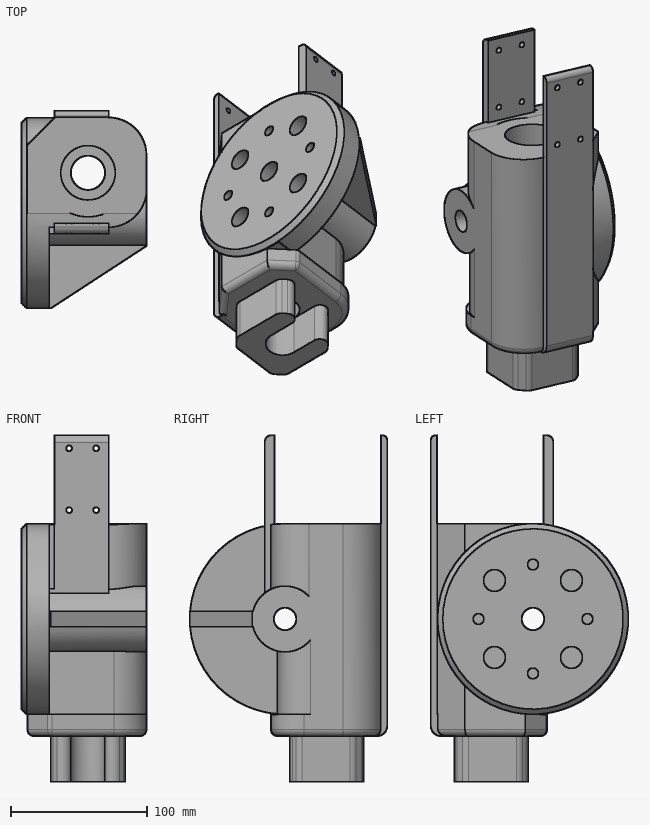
import cadquery as cq
import math


flange_radius = 70.0
flange_thickness = 20.5
flange_chamfer = 3.8
center_hole_diameter = 16.3
large_hole_diameter = 16.0
small_hole_diameter = 8.0
hole_circle_radius = 40.0
flange_hole_count = 8
flange_hole_depth = 16.5

block_left = 4.3
block_right = 92.0
block_back = 70.2
block_front = -10.5
lower_block_front = -5.5
corner_radius = 28.0
lower_corner_radius = 24.2
back_chamfer = 20.4
front_chamfer = 16.0
front_chamfer_blend = 4.3

cap_top = -flange_radius
cap_bottom = -86.0
cap_edge_radius = 5.0

bore_x = 48.9
bore_y = 29.5
bore_diameter = 25.0
counterbore_diameter = 40.0
collar_radius = 32.3
collar_height = 12.7

foot_bottom = -119.5
foot_size_x = 55.0
foot_size_y = 54.2
foot_y = 30.5
foot_back_chamfer = 7.6
foot_front_chamfer = 6.4
foot_edge_radius = 6.0

barrel_radius = 24.2
gusset_thickness = 11.7
gusset_tip_x = 21.6

plate_top = 135.0
plate_left = 24.2
plate_width = 40.0
back_plate_thickness = 4.8
front_plate_outer = -15.0
front_plate_inner = -7.6
back_plate_edge_radius = 3.8
back_plate_root_radius = 7.6
front_plate_edge_radius = 5.0
plate_tab_top = 22.1
plate_hole_diameter = 4.0
plate_hole_spacing_x = 19.9
plate_hole_offset_x = 0.8
plate_hole_heights = (80.0, 125.2)


def box(x_min, x_max, y_min, y_max, z_min, z_max):
    size = (x_max - x_min, y_max - y_min, z_max - z_min)
    return cq.Workplane("XY").box(*size, centered=False).translate((x_min, y_min, z_min))


def x_cylinder(radius, x_min, x_max, y=0, z=0):
    return cq.Workplane("YZ", origin=(x_min, y, z)).circle(radius).extrude(x_max - x_min)


def z_cylinder(radius, z_min, z_max):
    return cq.Workplane("XY", origin=(bore_x, bore_y, z_min)).circle(radius).extrude(z_max - z_min)


def block(front, front_corner_radius, z_min, z_max):
    """Housing outline with rounded right corners and a chamfered left back corner."""
    body = box(block_left, block_right, front, block_back, z_min, z_max)
    body = body.edges("|Z and >X and >Y").fillet(corner_radius)
    body = body.edges("|Z and >X and <Y").fillet(front_corner_radius)
    return body.edges("|Z and <X and >Y").chamfer(back_chamfer)


def housing():
    """Block whose top falls away along the flange radius in front of the flange axis."""
    envelope = x_cylinder(flange_radius, block_left, block_right)
    envelope = envelope.union(box(block_left, block_right, 0, block_back, 0, flange_radius))
    upper = block(block_front, corner_radius, 0, flange_radius)
    lower = block(lower_block_front, lower_corner_radius, cap_top, 0)
    collar = z_cylinder(collar_radius, flange_radius - collar_height, flange_radius)
    return upper.intersect(envelope).union(lower).union(collar)


def base_cap():
    """Cap with a chamfered left front corner and a rounded bottom edge."""
    cap = block(block_front, lower_corner_radius, cap_bottom, cap_top)
    cap = cap.edges("|Z and <X and <Y").chamfer(front_chamfer)
    blend_x = block_left + front_chamfer
    blend_edge = cq.selectors.NearestToPointSelector((blend_x, block_front, (cap_top + cap_bottom) / 2))
    cap = cap.edges(blend_edge).fillet(front_chamfer_blend)
    return cap.faces("<Z").edges().fillet(cap_edge_radius)


def foot():
    """Foot with bevelled corners and two rounded front arms beside a slot as wide as the bore."""
    half_slot = bore_diameter / 2
    half_width = foot_size_x / 2
    back = foot_y + foot_size_y / 2
    bevel_start = foot_y - foot_size_y / 2 + foot_front_chamfer
    arm_tip = bevel_start - (half_width - half_slot)
    half_outline = [
        (half_slot, bore_y),
        (half_slot, arm_tip),
        (half_width, bevel_start),
        (half_width, back - foot_back_chamfer),
        (half_width - foot_back_chamfer, back),
    ]
    mirrored = [(-x, y) for x, y in reversed(half_outline)]
    post = (
        cq.Workplane("XY", origin=(bore_x, 0, foot_bottom))
        .polyline(half_outline + mirrored)
        .close()
        .extrude(cap_bottom - foot_bottom)
    )
    slot_end = cq.selectors.BoxSelector(
        (bore_x - half_width, bore_y - half_slot / 2, foot_bottom),
        (bore_x + half_width, bore_y + half_slot / 2, cap_bottom),
    )
    outer_edges = cq.selectors.SubtractSelector(cq.selectors.ParallelDirSelector(cq.Vector(0, 0, 1)), slot_end)
    return post.edges(outer_edges).fillet(foot_edge_radius)


def flange():
    """Chamfered disc, thickened behind its back rim up to the left edge of the mounting plates."""
    disc = x_cylinder(flange_radius, 0, flange_thickness)
    disc = disc.faces("<X").edges().chamfer(flange_chamfer)
    step_front = block_back - back_chamfer
    step = x_cylinder(flange_radius, flange_thickness, plate_left).intersect(
        box(flange_thickness, plate_left, step_front, block_back, -flange_radius, flange_radius)
    )
    return disc.union(step)


def gusset():
    """Triangular web from the barrel to the front rim of the flange."""
    outline = [
        (flange_thickness, 0),
        (flange_thickness, -flange_radius),
        (gusset_tip_x, -flange_radius),
        (block_right, -barrel_radius),
        (block_right, 0),
    ]
    return (
        cq.Workplane("XY", origin=(0, 0, -gusset_thickness / 2))
        .polyline(outline)
        .close()
        .extrude(gusset_thickness)
    )


def back_plate():
    """Plate on the back of the housing, with a root that fills the rounded edge of the base cap."""
    outer = block_back + back_plate_thickness
    right = plate_left + plate_width
    plate = box(plate_left, right, block_back, outer, cap_top, plate_top)
    plate = plate.edges("|X and >Y and >Z").fillet(back_plate_edge_radius)
    root = box(plate_left, right, block_back - cap_edge_radius, outer, cap_bottom, cap_top)
    return plate.union(root.edges("|X and >Y and <Z").fillet(back_plate_root_radius))


def front_plate():
    """Plate standing on the barrel, with a tab that reaches the flange at its foot."""
    plate = box(plate_left, plate_left + plate_width, front_plate_outer, front_plate_inner, 0, plate_top)
    plate = plate.edges("|X and <Y and >Z").fillet(front_plate_edge_radius)
    tab = box(flange_thickness, plate_left, front_plate_outer, front_plate_inner, 0, plate_tab_top)
    return plate.union(tab)


def flange_holes():
    """Through hole on the axis and a circle of blind holes, small and large by turns."""
    holes = x_cylinder(center_hole_diameter / 2, 0, block_right)
    for index in range(flange_hole_count):
        angle = 2 * math.pi * index / flange_hole_count
        diameter = large_hole_diameter if index % 2 else small_hole_diameter
        y = hole_circle_radius * math.cos(angle)
        z = hole_circle_radius * math.sin(angle)
        holes = holes.union(x_cylinder(diameter / 2, 0, flange_hole_depth, y, z))
    return holes


def plate_holes():
    middle = plate_left + plate_width / 2 + plate_hole_offset_x
    spots = [(middle + side * plate_hole_spacing_x / 2, z) for side in (-1, 1) for z in plate_hole_heights]
    length = block_back + back_plate_thickness - front_plate_outer
    start = (0, block_back + back_plate_thickness, 0)
    return cq.Workplane("XZ", origin=start).pushPoints(spots).circle(plate_hole_diameter / 2).extrude(length)


def bore():
    """Vertical hole through the whole part, widened within the housing block."""
    counterbore = z_cylinder(counterbore_diameter / 2, cap_top, flange_radius)
    return z_cylinder(bore_diameter / 2, foot_bottom, flange_radius).union(counterbore)


result = flange().union(housing()).union(base_cap()).union(foot())
result = result.union(x_cylinder(barrel_radius, flange_thickness, block_right)).union(gusset())
result = result.union(back_plate()).union(front_plate())
result = result.cut(flange_holes()).cut(plate_holes()).cut(bore())